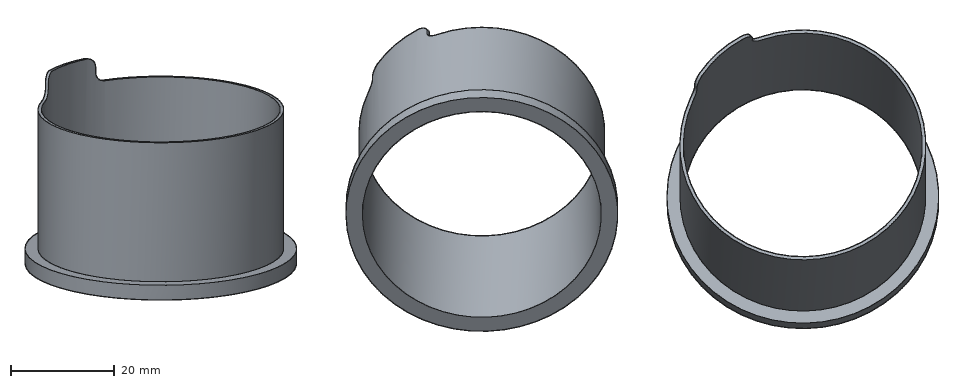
import cadquery as cq

flange_diameter = 52.75
flange_thickness = 3.0
sleeve_diameter = 47.75
bore_diameter = 46.35
sleeve_top = 31.0
total_height = 36.0
tab_width = 14.85
tab_radius = 2.0

tab_half = tab_width / 2
root_half = tab_half + tab_radius
crown_half = tab_half - tab_radius
sleeve_radius = sleeve_diameter / 2


def ring(outer_diameter, height):
    """Plain ring standing on Z = 0 around the common bore."""
    return cq.Workplane("XY").circle(outer_diameter / 2).circle(bore_diameter / 2).extrude(height)


def tab_envelope():
    """Prism along -X with the rounded tab outline, flared into the sleeve rim."""
    return (
        cq.Workplane("YZ")
        .moveTo(-root_half, sleeve_top)
        .radiusArc((-tab_half, sleeve_top + tab_radius), -tab_radius)
        .lineTo(-tab_half, total_height - tab_radius)
        .radiusArc((-crown_half, total_height), tab_radius)
        .lineTo(crown_half, total_height)
        .radiusArc((tab_half, total_height - tab_radius), tab_radius)
        .lineTo(tab_half, sleeve_top + tab_radius)
        .radiusArc((root_half, sleeve_top), -tab_radius)
        .lineTo(root_half, 0)
        .lineTo(-root_half, 0)
        .close()
        .extrude(-sleeve_radius)
    )


flange = ring(flange_diameter, flange_thickness)
sleeve = ring(sleeve_diameter, sleeve_top)
tab = ring(sleeve_diameter, total_height).intersect(tab_envelope())

result = flange.union(sleeve).union(tab).clean()